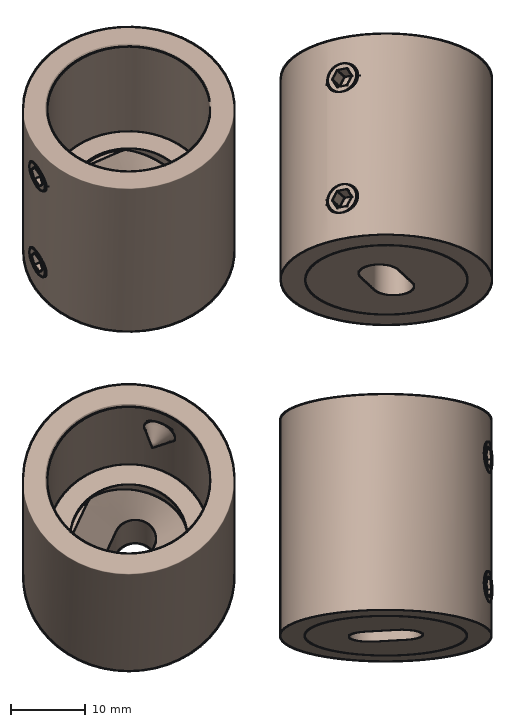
import cadquery as cq
import math

SLEEVE_DIAMETER = 28.5
SLEEVE_HEIGHT = 30.0
BORE_DIAMETER = 21.9
MOUTH_CHAMFER = 0.27
RIM_FILLET = 0.1
OUTER_RADIUS = SLEEVE_DIAMETER / 2
BORE_RADIUS = BORE_DIAMETER / 2

SCREW_DIAMETER = 5.0
SCREW_END_DIAMETER = 4.2
SCREW_LENGTH = 6.05
POINT_LENGTH = 2.35
SOCKET_FLATS = 2.52
SOCKET_DEPTH = 2.4
SCREW_INSET = 6.0
SCREW_HEIGHTS = (SCREW_INSET, SLEEVE_HEIGHT - SCREW_INSET)
SCREW_RADIUS = SCREW_DIAMETER / 2
SCREW_END_RADIUS = SCREW_END_DIAMETER / 2
SCREW_CHAMFER = SCREW_RADIUS - SCREW_END_RADIUS

DISC_DIAMETER = 21.8
RECESS_DIAMETER = 15.8
RECESS_DEPTH = 0.3
SLOT_WIDTH = 5.58
SLOT_SPACING = 4.5
SEAT_WIDTH = 14.4
SEAT_ANGLE = 45.0
SEAT_FLARE = (SEAT_WIDTH - SLOT_WIDTH) / 2
SEAT_DEPTH = SEAT_FLARE / math.tan(math.radians(SEAT_ANGLE))
DISC_HEIGHT = 2 * SCREW_INSET
SEAT_BOTTOM = DISC_HEIGHT - RECESS_DEPTH - SEAT_DEPTH


def make_screw_outline(height):
    """Solid screw body without its socket, revolved about a horizontal axis along Y."""
    point_end = SCREW_LENGTH - POINT_LENGTH
    half_section = [
        (0, 0),
        (SCREW_END_RADIUS, 0),
        (SCREW_RADIUS, SCREW_CHAMFER),
        (SCREW_RADIUS, point_end - SCREW_CHAMFER),
        (SCREW_END_RADIUS, point_end),
        (0, SCREW_LENGTH),
    ]
    return (
        cq.Workplane("XY")
        .polyline(half_section)
        .close()
        .revolve(360, (0, 0, 0), (0, 1, 0))
        .translate((0, -OUTER_RADIUS, height))
    )


def make_set_screw(height):
    """Cone-point set screw with a hexagon socket in its outer end."""
    socket = (
        cq.Workplane("XZ", origin=(0, -OUTER_RADIUS, height))
        .polygon(6, SOCKET_FLATS / math.cos(math.pi / 6))
        .extrude(-SOCKET_DEPTH)
    )
    return make_screw_outline(height).cut(socket)


def make_sleeve():
    """Tube with a chamfered, softened upper rim and a matching hole for each screw."""
    sleeve = cq.Workplane("XY").circle(OUTER_RADIUS).circle(BORE_RADIUS).extrude(SLEEVE_HEIGHT)
    sleeve = sleeve.faces(">Z").edges(cq.selectors.RadiusNthSelector(0)).chamfer(MOUTH_CHAMFER)
    sleeve = sleeve.faces(">Z or %CONE").edges("%CIRCLE").fillet(RIM_FILLET)
    for height in SCREW_HEIGHTS:
        sleeve = sleeve.cut(make_screw_outline(height))
    return sleeve


def make_slot_cut():
    """Straight slot and its flared seat, with the flare kept inside the recess circle."""
    slot = cq.Workplane("XY").slot2D(SLOT_SPACING + SLOT_WIDTH, SLOT_WIDTH, 90).extrude(DISC_HEIGHT)
    seat = (
        cq.Workplane("XY", origin=(0, 0, SEAT_BOTTOM))
        .slot2D(SLOT_SPACING + SLOT_WIDTH, SLOT_WIDTH, 90)
        .extrude(SEAT_DEPTH, taper=-SEAT_ANGLE)
    )
    recess_limit = cq.Workplane("XY").circle(RECESS_DIAMETER / 2).extrude(DISC_HEIGHT)
    return slot.union(seat.intersect(recess_limit))


def make_disc():
    """Disc with a recessed, countersunk slot and a pocket for the lower screw's point."""
    recess = (
        cq.Workplane("XY", origin=(0, 0, DISC_HEIGHT - RECESS_DEPTH))
        .circle(RECESS_DIAMETER / 2)
        .extrude(RECESS_DEPTH)
    )
    disc = cq.Workplane("XY").circle(DISC_DIAMETER / 2).extrude(DISC_HEIGHT)
    return disc.cut(recess).cut(make_slot_cut()).cut(make_screw_outline(SCREW_INSET))


sleeve = make_sleeve()
disc = make_disc()
set_screws = [make_set_screw(height) for height in SCREW_HEIGHTS]

result = cq.Compound.makeCompound(
    [sleeve.val(), disc.val(), *[screw.val() for screw in set_screws]]
)